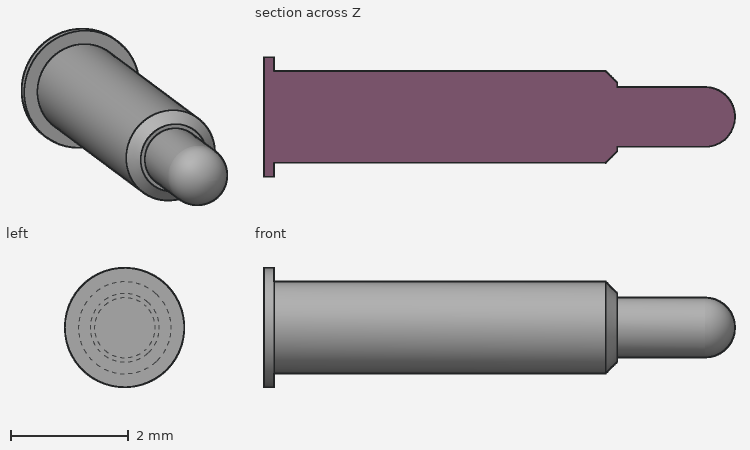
import cadquery as cq

total_length = 8.0
flange_radius = 2.03 / 2
flange_thickness = 0.18
barrel_radius = 1.57 / 2
barrel_end = 6.0
barrel_chamfer = 0.2
plunger_radius = 1.02 / 2


def barrel():
    """Plain cylinder with a chamfered front edge."""
    cylinder = cq.Workplane("YZ").circle(barrel_radius).extrude(barrel_end)
    return cylinder.faces(">X").edges().chamfer(barrel_chamfer)


def plunger():
    """Thin pin with a hemispherical tip, starting at the front of the barrel."""
    dome_start = total_length - plunger_radius
    shank = (
        cq.Workplane("YZ", origin=(barrel_end, 0, 0))
        .circle(plunger_radius)
        .extrude(dome_start - barrel_end)
    )
    tip = cq.Workplane("YZ", origin=(dome_start, 0, 0)).sphere(plunger_radius)
    return shank.union(tip)


flange = cq.Workplane("YZ").circle(flange_radius).extrude(flange_thickness)

result = flange.union(barrel()).union(plunger())